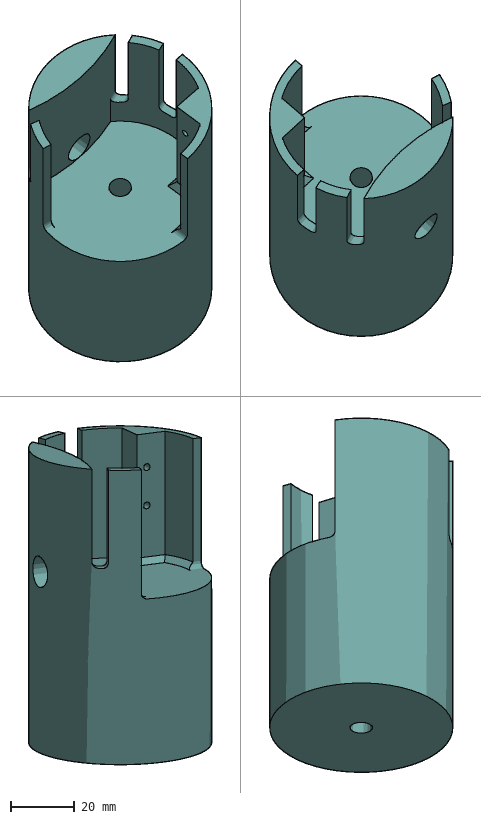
import cadquery as cq
import math

height = 96.0
outer_radius = 29.0
wall = 3.0
inner_radius = outer_radius - wall
floor_z = 53.8
edge_size = 2.0

crescent_radius = 63.4
crescent_face_x = -17.5
crescent_center_x = crescent_face_x - crescent_radius
arc_slot_width = 5.0
slot_floor_z = 63.8

side_tilt = math.radians(14.5)
slot_inner_reach = 19.2
cutter_reach = 38.4

block_face = 12.7
foot_slope = 45
screw_diameter = 2.2
screw_x = 16.2
screw_heights = (72.6, 85.1)
screw_depth = 7.7

drain_diameter = 7.0
side_hole_diameter = 10.0
side_hole_z = 59.0


def cylinder(radius, bottom, top, center_x=0):
    return cq.Workplane("XY", origin=(center_x, 0, bottom)).circle(radius).extrude(top - bottom)


def round_bottom(cutter):
    return cutter.faces("<Z").edges().fillet(edge_size)


def prism_cutter(points, bottom):
    """Polygonal cutter, open at the top, with rounded bottom edges."""
    prism = cq.Workplane("XY", origin=(0, 0, bottom)).polyline(points).close().extrude(height - bottom)
    return round_bottom(prism)


def corner_box(x, y, top):
    """Box standing on the pocket floor, with its -X -Y corner at x, y."""
    size = (outer_radius, outer_radius, top - floor_z)
    return cq.Workplane("XY").box(*size, centered=False).translate((x, y, floor_z))


def pocket():
    crescent = cylinder(crescent_radius, floor_z, height, crescent_center_x)
    return cylinder(inner_radius, floor_z, height).cut(crescent)


def block_foot():
    """Chamfered foot along the two flat faces of the corner block."""
    corner = block_face - edge_size
    base = cq.Workplane("XY", origin=(corner, corner, floor_z)).rect(cutter_reach, cutter_reach, centered=False)
    return base.extrude(edge_size, taper=foot_slope)


def wall_foot():
    """Conical foot along the inside of the +X wall."""
    region = corner_box(block_face, -edge_size, floor_z + edge_size)
    region = region.intersect(cylinder(outer_radius, floor_z, height))
    beyond_block = corner_box(block_face, block_face, height)
    cone = cq.Solid.makeCone(inner_radius - edge_size, inner_radius, edge_size, cq.Vector(0, 0, floor_z))
    return region.cut(beyond_block).cut(cq.Workplane(cone))


def front_opening():
    slant = cutter_reach * math.tan(side_tilt)
    points = [(0, 0), (cutter_reach, 0), (cutter_reach, -cutter_reach), (-slant, -cutter_reach)]
    return prism_cutter(points, floor_z)


def back_slot():
    near_x = -slot_inner_reach * math.tan(side_tilt)
    far_x = -cutter_reach * math.tan(side_tilt)
    points = [(0, slot_inner_reach), (0, cutter_reach), (far_x, cutter_reach), (near_x, slot_inner_reach)]
    return prism_cutter(points, slot_floor_z)


def arc_slots():
    slot = cylinder(crescent_radius + arc_slot_width, slot_floor_z, height, crescent_center_x)
    slot = slot.cut(cylinder(crescent_radius, slot_floor_z, height, crescent_center_x))
    return round_bottom(slot)


def screw_holes():
    centers = [(screw_x, z) for z in screw_heights]
    plane = cq.Workplane("XZ", origin=(0, block_face, 0))
    return plane.pushPoints(centers).circle(screw_diameter / 2).extrude(-screw_depth)


def side_hole():
    plane = cq.Workplane("YZ", origin=(-outer_radius, 0, side_hole_z))
    return plane.circle(side_hole_diameter / 2).extrude(outer_radius)


body = cylinder(outer_radius, 0, height).cut(pocket())

block = corner_box(block_face, block_face, height).union(block_foot())
block = block.intersect(cylinder(outer_radius, floor_z, height))
body = body.union(block).union(wall_foot())

for opening in (front_opening(), back_slot(), arc_slots(), screw_holes(), side_hole()):
    body = body.cut(opening)

result = body.cut(cylinder(drain_diameter / 2, 0, floor_z))